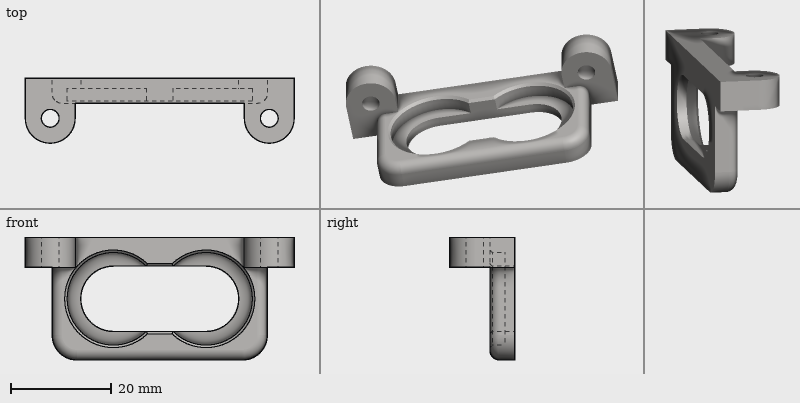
import cadquery as cq

bar_length = 53.75
bar_height = 6.0
thickness = 5.0

lug_radius = 5.0
lug_reach = 8.0
lug_hole_diameter = 3.5
lug_offset = bar_length / 2 - lug_radius

plate_width = 43.0
plate_height = 24.5
corner_radius = 5.0
front_fillet = 2.0

bore_spacing = 18.5
slot_width = 13.0
recess_diameter = 18.5
recess_depth = 3.0
rim_chamfer = 0.5
rim_taper = 45.0
opening_z = -plate_height / 2


def front_plane():
    """Sketch plane on the front face, centred on the opening and facing -Y."""
    return cq.Workplane("XZ", origin=(0, -thickness, opening_z))


def make_plate():
    plate = cq.Workplane("XY").box(plate_width, thickness, plate_height, centered=(True, False, False))
    plate = plate.translate((0, -thickness, -plate_height))
    plate = plate.edges("|Y and <Z").fillet(corner_radius)
    return plate.faces("<Y").edges("not >Z").fillet(front_fillet)


def make_bar():
    bar = cq.Workplane("XY").center(0, -thickness / 2).rect(bar_length, thickness).extrude(-bar_height)
    for side in (-1, 1):
        arm = (
            cq.Workplane("XY")
            .center(side * lug_offset, -lug_reach / 2)
            .rect(2 * lug_radius, lug_reach)
            .extrude(-bar_height)
        )
        tip = cq.Workplane("XY").center(side * lug_offset, -lug_reach).circle(lug_radius).extrude(-bar_height)
        bar = bar.union(arm).union(tip)
    return bar


def make_lug_holes():
    centres = [(-lug_offset, -lug_reach), (lug_offset, -lug_reach)]
    return cq.Workplane("XY").pushPoints(centres).circle(lug_hole_diameter / 2).extrude(-bar_height)


def make_opening():
    """Through slot with a round recess at each end, all flared at the front rim."""
    slot_length = bore_spacing + slot_width
    slot_rim = front_plane().slot2D(slot_length + 2 * rim_chamfer, slot_width + 2 * rim_chamfer)
    opening = front_plane().slot2D(slot_length, slot_width).extrude(-thickness)
    opening = opening.union(slot_rim.extrude(-rim_chamfer, taper=rim_taper))
    for side in (-1, 1):
        recess = front_plane().center(side * bore_spacing / 2, 0)
        opening = opening.union(recess.circle(recess_diameter / 2).extrude(-recess_depth))
        rim = front_plane().center(side * bore_spacing / 2, 0).circle(recess_diameter / 2 + rim_chamfer)
        opening = opening.union(rim.extrude(-rim_chamfer, taper=rim_taper))
    return opening


result = make_plate().union(make_bar()).cut(make_lug_holes()).cut(make_opening())